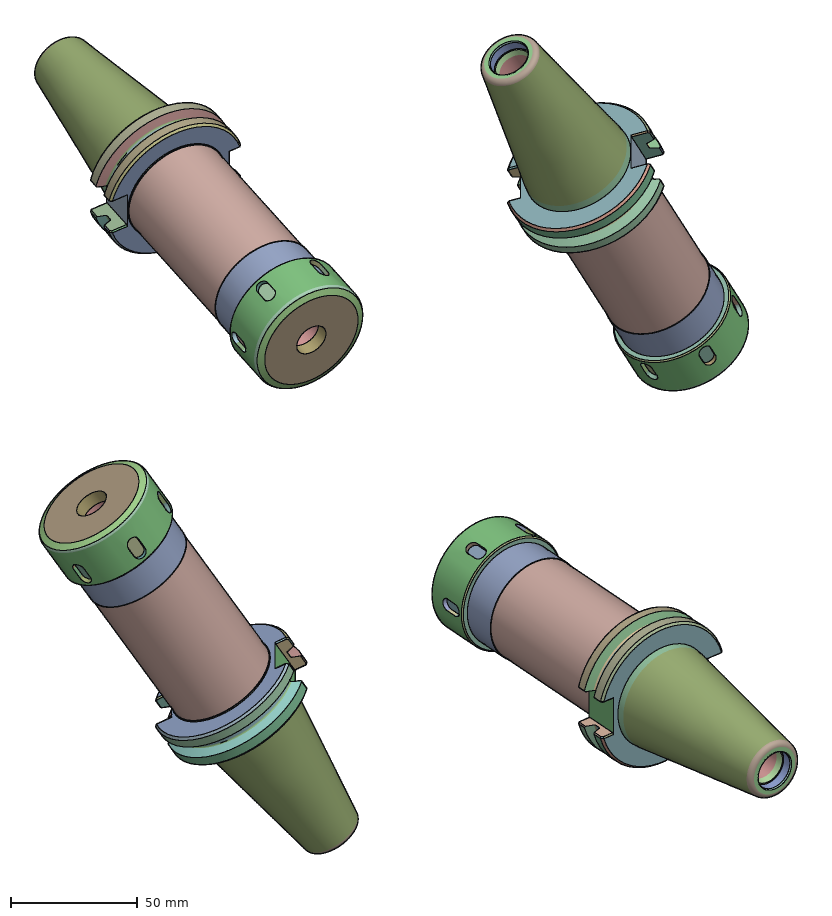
import cadquery as cq

LENGTH = 188.2

GAUGE_X = 68.1
GAUGE_DIAMETER = 44.5
TAPER_RATIO = 7 / 24
SHANK_END_DIAMETER = GAUGE_DIAMETER - TAPER_RATIO * GAUGE_X
SHANK_END_ROUND = 2.3

FLANGE_X = 71.3
FLANGE_WIDTH = 15.8
FLANGE_END_X = FLANGE_X + FLANGE_WIDTH
FLANGE_DIAMETER = 63.5
FLANGE_EDGE = 1.0
GROOVE_X = 79.5
GROOVE_FLOOR_DIAMETER = 55.3
GROOVE_FLOOR_WIDTH = 3.0
GROOVE_RIM_WIDTH = 6.0
GROOVE_FLOOR_ROUND = 0.5

DRIVE_SLOT_WIDTH = 16.0
DRIVE_SLOT_CHAMFER = 0.5
FRONT_SLOT_FLOOR = 22.5
REAR_SLOT_FLOOR = 24.7

COLLAR_DIAMETER = 45.0
COLLAR_LENGTH = 0.5
COLLAR_END_X = FLANGE_END_X + COLLAR_LENGTH
BODY_DIAMETER = GAUGE_DIAMETER
BODY_END_X = 152.5
NOSE_DIAMETER = COLLAR_DIAMETER

BORE_DIAMETER = 13.5
MOUTH_DIAMETER = 16.8
MOUTH_CHAMFER_DEPTH = 0.8
COUNTERBORE_DIAMETER = 16.2
COUNTERBORE_DEPTH = 4.7
LEAD_IN_DIAMETER = 15.0
LEAD_IN_DEPTH = 2.6

NUT_X = 167.2
NUT_DIAMETER = 50.0
NUT_REAR_CHAMFER = 0.5
NUT_FRONT_ROUND = 1.1
NUT_FRONT_DROP = 0.5
NUT_CONE_LENGTH = 1.1
NUT_CONE_DROP = 2.8
NUT_LIP = 5.6
NOSE_END_X = LENGTH - NUT_LIP

WRENCH_SLOT_COUNT = 6
WRENCH_SLOT_LENGTH = 10.4
WRENCH_SLOT_WIDTH = 5.5
WRENCH_SLOT_DEPTH = 2.0
WRENCH_SLOT_X = 174.3


def revolve_about_x(profile):
    return profile.close().revolve(360, (0, 0, 0), (1, 0, 0))


def cylinder_along_x(diameter, start, end):
    return cq.Workplane("YZ", origin=(start, 0, 0)).circle(diameter / 2).extrude(end - start)


def make_shank_and_body():
    profile = (
        cq.Workplane("XY")
        .lineTo(0, SHANK_END_DIAMETER / 2)
        .lineTo(GAUGE_X, GAUGE_DIAMETER / 2)
        .lineTo(FLANGE_X, COLLAR_DIAMETER / 2)
        .lineTo(COLLAR_END_X, COLLAR_DIAMETER / 2)
        .lineTo(COLLAR_END_X, BODY_DIAMETER / 2)
        .lineTo(BODY_END_X, BODY_DIAMETER / 2)
        .lineTo(BODY_END_X, NOSE_DIAMETER / 2)
        .lineTo(NOSE_END_X, NOSE_DIAMETER / 2)
        .lineTo(NOSE_END_X, 0)
    )
    return revolve_about_x(profile).faces("<X").edges().fillet(SHANK_END_ROUND)


def make_groove_cutter():
    floor_radius = GROOVE_FLOOR_DIAMETER / 2
    rim_radius = FLANGE_DIAMETER / 2
    floor_half = GROOVE_FLOOR_WIDTH / 2
    rim_half = GROOVE_RIM_WIDTH / 2
    profile = (
        cq.Workplane("XY")
        .moveTo(GROOVE_X - floor_half, floor_radius)
        .lineTo(GROOVE_X + floor_half, floor_radius)
        .lineTo(GROOVE_X + rim_half, rim_radius)
        .lineTo(GROOVE_X - rim_half, rim_radius)
    )
    floor_edges = cq.selectors.RadiusNthSelector(0)
    return revolve_about_x(profile).edges(floor_edges).fillet(GROOVE_FLOOR_ROUND)


def make_drive_slot(side, floor_distance):
    """Block that cuts one drive slot; side is +1 for +Y and -1 for -Y."""
    depth = FLANGE_DIAMETER / 2
    length = COLLAR_END_X - FLANGE_X
    block = cq.Workplane("XY").box(length, depth, DRIVE_SLOT_WIDTH, centered=(False, True, True))
    return block.translate((FLANGE_X, side * (floor_distance + depth / 2), 0))


def make_drive_slots():
    return make_drive_slot(-1, FRONT_SLOT_FLOOR).union(make_drive_slot(1, REAR_SLOT_FLOOR))


def make_flange():
    """Flange with chamfered rims and slot walls; the V groove is cut last, so its edges stay sharp."""
    flange = cylinder_along_x(FLANGE_DIAMETER, FLANGE_X, FLANGE_END_X).edges().chamfer(FLANGE_EDGE)
    flange = flange.cut(make_drive_slots())
    floor_edges = flange.faces("|Y").edges().vals()
    wall_edges = flange.faces("|Z").edges().vals()
    outer_edges = [edge for edge in wall_edges if not any(edge.isSame(floor) for floor in floor_edges)]
    flange = flange.newObject(outer_edges).chamfer(DRIVE_SLOT_CHAMFER)
    return flange.cut(make_groove_cutter())


def make_bore_cutter():
    counterbore_radius = COUNTERBORE_DIAMETER / 2
    bore_radius = BORE_DIAMETER / 2
    profile = (
        cq.Workplane("XY")
        .lineTo(0, MOUTH_DIAMETER / 2)
        .lineTo(MOUTH_CHAMFER_DEPTH, counterbore_radius)
        .lineTo(COUNTERBORE_DEPTH, counterbore_radius)
        .lineTo(COUNTERBORE_DEPTH, LEAD_IN_DIAMETER / 2)
        .lineTo(COUNTERBORE_DEPTH + LEAD_IN_DEPTH, bore_radius)
        .lineTo(NOSE_END_X, bore_radius)
        .lineTo(NOSE_END_X, 0)
    )
    return revolve_about_x(profile)


def make_holder():
    holder = make_shank_and_body().cut(make_drive_slots()).union(make_flange())
    return holder.cut(make_bore_cutter())


def make_nut_blank():
    radius = NUT_DIAMETER / 2
    cone_x = LENGTH - NUT_CONE_LENGTH
    cone_radius = radius - NUT_FRONT_DROP
    profile = (
        cq.Workplane("XY")
        .moveTo(NUT_X, 0)
        .lineTo(NUT_X, radius - NUT_REAR_CHAMFER)
        .lineTo(NUT_X + NUT_REAR_CHAMFER, radius)
        .lineTo(cone_x - NUT_FRONT_ROUND, radius)
        .tangentArcPoint((cone_x, cone_radius), relative=False)
        .lineTo(LENGTH, cone_radius - NUT_CONE_DROP)
        .lineTo(LENGTH, 0)
    )
    return revolve_about_x(profile)


def make_wrench_slot(angle):
    """Flat-floored slot cutter on the -Y side, turned about X by the given angle."""
    floor_y = NUT_DIAMETER / 2 - WRENCH_SLOT_DEPTH
    return (
        cq.Workplane("XZ", origin=(WRENCH_SLOT_X, -floor_y, 0))
        .slot2D(WRENCH_SLOT_LENGTH, WRENCH_SLOT_WIDTH)
        .extrude(2 * WRENCH_SLOT_DEPTH)
        .rotate((0, 0, 0), (1, 0, 0), angle)
    )


def make_nut():
    nut = make_nut_blank()
    nut = nut.cut(cylinder_along_x(NOSE_DIAMETER, NUT_X, NOSE_END_X))
    nut = nut.cut(cylinder_along_x(BORE_DIAMETER, NOSE_END_X, LENGTH))
    for index in range(WRENCH_SLOT_COUNT):
        nut = nut.cut(make_wrench_slot(index * 360 / WRENCH_SLOT_COUNT))
    return nut


holder = make_holder()
nut = make_nut()
result = cq.Compound.makeCompound([holder.val(), nut.val()])